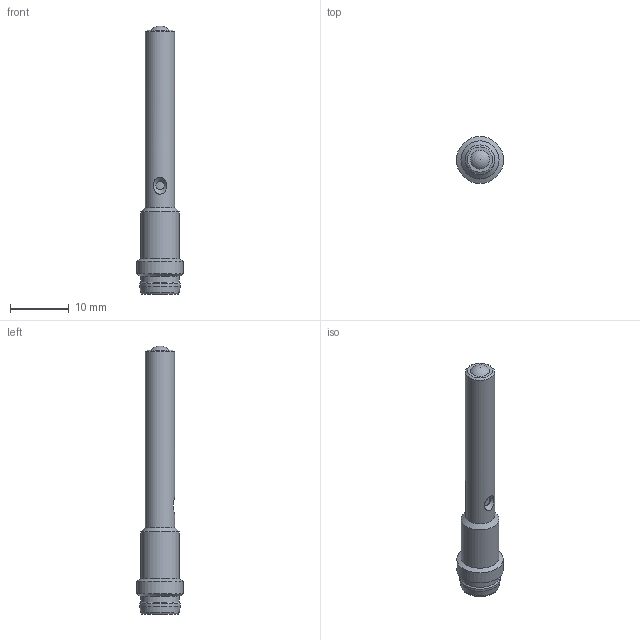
import cadquery as cq
import math

flange_bottom = 3.0
flange_top = 6.0
body_top = 14.0
shoulder_top = 45.0
overall_length = 45.75

shaft_diameter = 5.0
body_diameter = 6.5
flange_diameter = 8.0
bead_diameter = 6.9
tip_diameter = 6.6
shoulder_diameter = 4.3
dome_diameter = 3.25
core_diameter = 3.5

end_chamfer_width = 0.15
end_chamfer_height = 0.25
bead_bottom = 1.3
bead_top = 1.75
groove_bottom = 2.0

flange_slope = 30.0
flange_chamfer = (flange_diameter - body_diameter) / 2 * math.tan(math.radians(flange_slope))

neck_height = (body_diameter - shaft_diameter) / 2
shaft_chamfer_height = 0.25

hole_height = 18.5
hole_diameter = 1.5
countersink_diameter = 2.9
countersink_depth = (countersink_diameter - hole_diameter) / 2


def turned_pin():
    """Revolve the half outline (radius, height) of the pin about Z."""
    shaft_radius = shaft_diameter / 2
    body_radius = body_diameter / 2
    flange_radius = flange_diameter / 2
    bead_radius = bead_diameter / 2
    tip_radius = tip_diameter / 2

    dome_height = overall_length - shoulder_top
    dome_base_radius = dome_diameter / 2
    dome_radius = (dome_base_radius**2 + dome_height**2) / (2 * dome_height)
    dome_center = overall_length - dome_radius
    half_angle = math.asin(dome_base_radius / dome_radius) / 2
    dome_middle = (
        dome_radius * math.sin(half_angle),
        dome_center + dome_radius * math.cos(half_angle),
    )

    outline = (
        cq.Workplane("XZ")
        .moveTo(0, 0)
        .lineTo(tip_radius - end_chamfer_width, 0)
        .lineTo(tip_radius, end_chamfer_height)
        .lineTo(bead_radius, bead_bottom)
        .lineTo(bead_radius, bead_top)
        .lineTo(body_radius, groove_bottom)
        .lineTo(body_radius, flange_bottom)
        .lineTo(flange_radius, flange_bottom + flange_chamfer)
        .lineTo(flange_radius, flange_top - flange_chamfer)
        .lineTo(body_radius, flange_top)
        .lineTo(body_radius, body_top)
        .lineTo(shaft_radius, body_top + neck_height)
        .lineTo(shaft_radius, shoulder_top - shaft_chamfer_height)
        .lineTo(shoulder_diameter / 2, shoulder_top)
        .lineTo(dome_base_radius, shoulder_top)
        .threePointArc(dome_middle, (0, overall_length))
        .close()
    )
    return outline.revolve(360, (0, 0, 0), (0, 1, 0))


def countersunk_hole():
    """Radial hole with a 45 degree countersink; its floor is the cylindrical core about Z."""
    mouth = cq.Vector(0, -shaft_diameter / 2, hole_height)
    inward = cq.Vector(0, 1, 0)
    drill = cq.Solid.makeCylinder(hole_diameter / 2, shaft_diameter / 2, mouth, inward)
    countersink = cq.Solid.makeCone(
        countersink_diameter / 2, hole_diameter / 2, countersink_depth, mouth, inward
    )
    core = cq.Workplane("XY").circle(core_diameter / 2).extrude(overall_length)
    return cq.Workplane(obj=drill).union(cq.Workplane(obj=countersink)).cut(core)


result = turned_pin().cut(countersunk_hole())